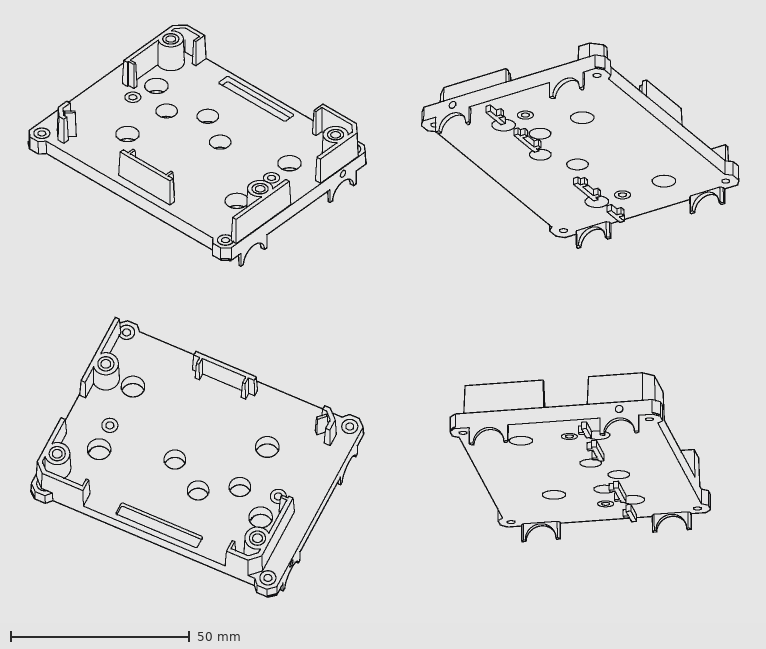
import cadquery as cq
import math

PLATE_THICKNESS = 4.5
WALL_HEIGHT = 8.5
CLIP_DEPTH = 4.7
DRAFT = 2.0

HALF_LENGTH = 38.2
SIDE_INSET = 0.12
HALF_WIDTH = 28.3
EAR_REACH = 1.7
EAR_TIP_OUTER = 36.2
EAR_TIP_INNER = 32.75
EAR_ROOT = 31.2
RIM_HEIGHT = 0.5
CORNER_STEP = 0.3
EAR_DRAFT_INSET = 0.15

SCREW_DIAMETER = 2.2
SEAT_DIAMETER = 4.5
SEAT_DEPTH = 0.1
CORNER_HOLE_X = 34.6
CORNER_HOLE_Y = 26.6
BUSHING_X = 26.1
BUSHING_Y = 2.05
LARGE_DIAMETER = 6.6
LARGE_HOLES = [(-24.5, 10.15), (25.6, 10.15), (-16.6, -10.8), (25.6, -11.8)]
MEDIUM_DIAMETER = 6.0
MEDIUM_HOLES = [(-15.1, 4.0), (-5.05, 10.0), (5.05, 4.0)]

POCKET_LENGTH = 25.2
POCKET_WIDTH = 4.0
POCKET_DEPTH = 2.0
POCKET_Y = 24.65
POCKET_CORNER_RADIUS = 0.5

WALL_THICKNESS = 1.9
WALL_CHAMFER = 3.05
INNER_CHAMFER = WALL_CHAMFER - (2 - math.sqrt(2)) * WALL_THICKNESS
TAB_WIDTH = 1.4
WALL_LEFT = -32.3
WALL_RIGHT = 37.9
WALL_BACK = HALF_WIDTH
WALL_FRONT = -25.7
BACK_TAB_TIP = 24.0
BACK_LEFT_WALL_END_X = -22.15
BACK_LEFT_WALL_END_Y = 4.5
SIDE_TAB_TIP = -28.4
SIDE_TAB_Y = 5.7
BACK_RIGHT_WALL_END_X = 21.75
BACK_RIGHT_WALL_END_Y = 9.5
RIGHT_WALL_BACK_END = -2.9
FRONT_WALL_LEFT = -6.4
FRONT_WALL_RIGHT = 12.9
FRONT_TAB_INSET = 1.8
FRONT_TAB_TIP = -21.75
FRONT_CORNER_END_X = -27.0
FRONT_CORNER_END_Y = -18.7
DIAGONAL_RIB_LENGTH = 3.5
DIAGONAL_RIB_CENTER = (-28.2, -21.9)

BOSS_RADIUS = 3.8
BOSS_BORE_TOP_DIAMETER = 2.75
BOSSES = [(-28.5, 20.5), (33.6, 20.5), (33.6, -11.0)]

CLIP_Y = 18.6
CLIP_WIDTH = 11.0
CLIP_ROOT_THICKNESS = 1.7
CLIP_TIP_THICKNESS = 1.4
CLIP_ARCH_RADIUS = 4.35
CLIP_CORNER_CHAMFER = 0.7
DIMPLE_RADIUS = 1.1
DIMPLE_HEIGHT = 2.4

RIB_DEPTH = 2.0
RIB_BACK = 8.9
RIB_THICKNESS = 1.45
RIB_TAB_WIDTH = 1.4
RIBS = [
    (-36.0, -27.95, [-32.1]),
    (-21.1, -9.9, [-19.15, -11.8]),
    (11.1, 21.9, [13.0, 20.0]),
    (29.1, 36.0, [32.6]),
]


def side_x(z):
    """Distance of the leaning side faces from the middle at height z."""
    return HALF_LENGTH - SIDE_INSET * z / PLATE_THICKNESS


def plate_outline(z, corner_step, ear_inset):
    """Closed rectangle with a chamfered ear at each corner, at height z."""
    side = side_x(z)
    ear_y = HALF_WIDTH + EAR_REACH
    quarter = [
        (side, HALF_WIDTH - corner_step),
        (EAR_TIP_OUTER - corner_step, ear_y),
        (EAR_TIP_INNER + ear_inset, ear_y),
        (EAR_ROOT + ear_inset, HALF_WIDTH),
    ]
    back_left = [(-x, y) for x, y in reversed(quarter)]
    front_left = [(-x, -y) for x, y in quarter]
    front_right = [(x, -y) for x, y in reversed(quarter)]
    points = quarter + back_left + front_left + front_right
    return cq.Wire.makePolygon([cq.Vector(x, y, z) for x, y in points], close=True)


def layer(lower, upper):
    return cq.Workplane(cq.Solid.makeLoft([lower, upper], True))


def plate_blank():
    rim = layer(plate_outline(0, 0, 0), plate_outline(RIM_HEIGHT, 0, 0))
    upper = layer(
        plate_outline(RIM_HEIGHT, CORNER_STEP, 0),
        plate_outline(PLATE_THICKNESS, CORNER_STEP, EAR_DRAFT_INSET),
    )
    return rim.union(upper)


def through_holes(points, diameter):
    return cq.Workplane().pushPoints(points).circle(diameter / 2).extrude(PLATE_THICKNESS)


def seats(points, top):
    """Shallow round recesses around screw holes, cut down from the level top."""
    plane = cq.Workplane().workplane(offset=top - SEAT_DEPTH)
    return plane.pushPoints(points).circle(SEAT_DIAMETER / 2).extrude(SEAT_DEPTH)


def pocket():
    return (
        cq.Workplane(origin=(0, POCKET_Y, PLATE_THICKNESS - POCKET_DEPTH))
        .rect(POCKET_LENGTH, POCKET_WIDTH)
        .extrude(POCKET_DEPTH)
        .edges("|Z")
        .fillet(POCKET_CORNER_RADIUS)
    )


def drafted_wall(points):
    """Wall on the plate with its foot on the given outline."""
    foot = cq.Workplane(origin=(0, 0, PLATE_THICKNESS)).polyline(points).close()
    return foot.extrude(WALL_HEIGHT, taper=DRAFT)


def drafted_bar(x_start, x_end, y_start, y_end):
    return drafted_wall([(x_start, y_start), (x_end, y_start), (x_end, y_end), (x_start, y_end)])


def corner_wall(corner_x, corner_y, end_x, end_y):
    """L-shaped wall with a chamfered corner; the ends give the reach of its two legs."""
    x_in = math.copysign(1, end_x - corner_x)
    y_in = math.copysign(1, end_y - corner_y)
    inner_x = corner_x + x_in * WALL_THICKNESS
    inner_y = corner_y + y_in * WALL_THICKNESS
    return drafted_wall([
        (corner_x, end_y),
        (corner_x, corner_y + y_in * WALL_CHAMFER),
        (corner_x + x_in * WALL_CHAMFER, corner_y),
        (end_x, corner_y),
        (end_x, inner_y),
        (inner_x + x_in * INNER_CHAMFER, inner_y),
        (inner_x, inner_y + y_in * INNER_CHAMFER),
        (inner_x, end_y),
    ])


def back_left_wall():
    wall = corner_wall(WALL_LEFT, WALL_BACK, BACK_LEFT_WALL_END_X, BACK_LEFT_WALL_END_Y)
    back_tab = drafted_bar(
        BACK_LEFT_WALL_END_X - TAB_WIDTH, BACK_LEFT_WALL_END_X, BACK_TAB_TIP, WALL_BACK
    )
    side_tab = drafted_bar(
        WALL_LEFT, SIDE_TAB_TIP, SIDE_TAB_Y - TAB_WIDTH / 2, SIDE_TAB_Y + TAB_WIDTH / 2
    )
    return wall.union(back_tab).union(side_tab)


def back_right_wall():
    wall = corner_wall(WALL_RIGHT, WALL_BACK, BACK_RIGHT_WALL_END_X, BACK_RIGHT_WALL_END_Y)
    back_tab = drafted_bar(
        BACK_RIGHT_WALL_END_X, BACK_RIGHT_WALL_END_X + TAB_WIDTH, BACK_TAB_TIP, WALL_BACK
    )
    return wall.union(back_tab)


def right_wall():
    return drafted_bar(WALL_RIGHT - WALL_THICKNESS, WALL_RIGHT, WALL_FRONT, RIGHT_WALL_BACK_END)


def front_wall():
    wall = drafted_bar(FRONT_WALL_LEFT, FRONT_WALL_RIGHT, WALL_FRONT, WALL_FRONT + WALL_THICKNESS)
    left_tab_x = FRONT_WALL_LEFT + FRONT_TAB_INSET
    right_tab_x = FRONT_WALL_RIGHT - FRONT_TAB_INSET - TAB_WIDTH
    for tab_x in (left_tab_x, right_tab_x):
        wall = wall.union(drafted_bar(tab_x, tab_x + TAB_WIDTH, WALL_FRONT, FRONT_TAB_TIP))
    return wall


def front_corner():
    """Front left corner wall with a rib along its diagonal."""
    wall = corner_wall(WALL_LEFT, WALL_FRONT, FRONT_CORNER_END_X, FRONT_CORNER_END_Y)
    rib = (
        cq.Workplane(origin=(*DIAGONAL_RIB_CENTER, PLATE_THICKNESS))
        .transformed(rotate=(0, 0, 45))
        .rect(DIAGONAL_RIB_LENGTH, TAB_WIDTH)
        .extrude(WALL_HEIGHT, taper=DRAFT)
    )
    return wall.union(rib)


def boss(center):
    """Round drafted boss that runs into the wall beside it."""
    foot = cq.Workplane(origin=(*center, PLATE_THICKNESS)).circle(BOSS_RADIUS)
    return foot.extrude(WALL_HEIGHT, taper=DRAFT)


def boss_bore(center):
    """Blind bore that narrows with the draft down to the plate."""
    return (
        cq.Workplane(origin=(*center, PLATE_THICKNESS + WALL_HEIGHT))
        .circle(BOSS_BORE_TOP_DIAMETER / 2)
        .extrude(-WALL_HEIGHT, taper=DRAFT)
    )


def clip(y):
    """Clip under the +X end with a half-round opening across it."""
    tongue = (
        cq.Workplane("XZ", origin=(0, y + CLIP_WIDTH / 2, 0))
        .polyline([
            (HALF_LENGTH, 0),
            (HALF_LENGTH, -CLIP_DEPTH),
            (HALF_LENGTH - CLIP_TIP_THICKNESS, -CLIP_DEPTH),
            (HALF_LENGTH - CLIP_ROOT_THICKNESS, 0),
        ])
        .close()
        .extrude(CLIP_WIDTH)
    )
    tongue = tongue.faces("<X").edges("not |Y").chamfer(CLIP_CORNER_CHAMFER)
    arch = (
        cq.Workplane("YZ", origin=(0, y, -CLIP_DEPTH))
        .circle(CLIP_ARCH_RADIUS)
        .extrude(HALF_LENGTH)
    )
    return tongue.cut(arch)


def dimple():
    """Ball that sinks a half-round dimple into the +X side face."""
    return cq.Workplane(origin=(side_x(DIMPLE_HEIGHT), CLIP_Y, DIMPLE_HEIGHT)).sphere(DIMPLE_RADIUS)


def underside_rib(x_start, x_end, tab_middles):
    """Straight rib with short tabs on its front side."""
    rib = cq.Workplane().box(x_end - x_start, RIB_THICKNESS, RIB_DEPTH, centered=False)
    rib = rib.translate((x_start, RIB_BACK - RIB_THICKNESS, -RIB_DEPTH))
    tab = cq.Workplane().box(RIB_TAB_WIDTH, 2 * RIB_THICKNESS, RIB_DEPTH, centered=(True, False, False))
    for middle in tab_middles:
        rib = rib.union(tab.translate((middle, RIB_BACK - 2 * RIB_THICKNESS, -RIB_DEPTH)))
    return rib


def make_bushing(x):
    """Flush sleeve around a screw hole, through the whole plate."""
    return (
        cq.Workplane(origin=(x, BUSHING_Y, 0))
        .circle(SEAT_DIAMETER / 2)
        .circle(SCREW_DIAMETER / 2)
        .extrude(PLATE_THICKNESS)
    )


def make_base():
    corner_holes = [
        (x, y)
        for x in (-CORNER_HOLE_X, CORNER_HOLE_X)
        for y in (-CORNER_HOLE_Y, CORNER_HOLE_Y)
    ]
    bushing_holes = [(-BUSHING_X, BUSHING_Y), (BUSHING_X, BUSHING_Y)]
    base = plate_blank()
    base = base.cut(through_holes(corner_holes, SCREW_DIAMETER))
    base = base.cut(seats(corner_holes, PLATE_THICKNESS))
    base = base.cut(through_holes(bushing_holes, SEAT_DIAMETER))
    base = base.cut(through_holes(LARGE_HOLES, LARGE_DIAMETER))
    base = base.cut(through_holes(MEDIUM_HOLES, MEDIUM_DIAMETER))
    base = base.cut(pocket())
    for cutter in (dimple(), dimple().mirror("YZ")):
        base = base.cut(cutter)

    for wall in (back_left_wall(), back_right_wall(), right_wall(), front_wall(), front_corner()):
        base = base.union(wall)
    for center in BOSSES:
        base = base.union(boss(center))
    for center in BOSSES:
        base = base.cut(boss_bore(center))
    base = base.cut(seats(BOSSES, PLATE_THICKNESS + WALL_HEIGHT))

    for y in (-CLIP_Y, CLIP_Y):
        base = base.union(clip(y)).union(clip(y).mirror("YZ"))
    for x_start, x_end, tab_middles in RIBS:
        base = base.union(underside_rib(x_start, x_end, tab_middles))
    return base


base = make_base()
bushings = [make_bushing(x) for x in (-BUSHING_X, BUSHING_X)]

result = cq.Compound.makeCompound([base.val(), *[bushing.val() for bushing in bushings]])